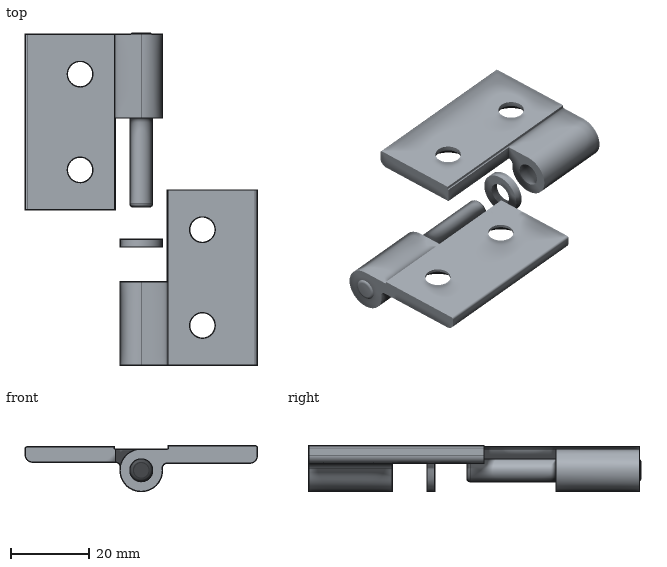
import cadquery as cq
import math


LEAF_LENGTH = 44.9
OVERALL_WIDTH = 59.5
LEAF_REACH = OVERALL_WIDTH / 2
PLATE_INNER_X = 6.6
OUTER_TOP_RADIUS = 0.6
OUTER_BOTTOM_RADIUS = 1.95
STEP_RADIUS = 0.25
PIN_LEAF_TOP = 6.0
PIN_LEAF_BOTTOM = 2.0
SOCKET_LEAF_TOP = 6.3
SOCKET_LEAF_BOTTOM = 1.8

SCREW_DIAMETER = 6.5
COUNTERSINK_DIAMETER = 13.0
SCREW_X = 15.7
SCREW_PITCH = 24.5

KNUCKLE_RADIUS = 5.45
KNUCKLE_LENGTH = 21.45
NECK_RADIUS = 1.2

PIN_DIAMETER = 5.9
PIN_RADIUS = PIN_DIAMETER / 2
PIN_END_RADIUS = 0.9
PIN_LENGTH = 44.6
PIN_PROTRUSION = 0.3
WASHER_THICKNESS = 2.0

OVERALL_LENGTH = 85.1
FRONT_Y = -OVERALL_LENGTH / 2
BACK_Y = OVERALL_LENGTH / 2
PIN_LEAF_BACK_Y = BACK_Y - PIN_PROTRUSION
WASHER_BACK_Y = FRONT_Y + 32.3


def section_at(back_y):
    """XZ sketch plane; a positive extrusion runs toward -Y."""
    return cq.Workplane("XZ", origin=(0, back_y, 0))


def plate(top, bottom, back_y):
    """Plate on the +X side, with rounded outer edges and a step at its inner edge."""
    diagonal = math.sqrt(0.5)
    step_x = PLATE_INNER_X + STEP_RADIUS
    step_z = KNUCKLE_RADIUS + STEP_RADIUS
    step_mid = (
        PLATE_INNER_X + STEP_RADIUS * diagonal,
        step_z - STEP_RADIUS * diagonal,
    )
    body = (
        section_at(back_y)
        .moveTo(PLATE_INNER_X, bottom)
        .lineTo(LEAF_REACH, bottom)
        .lineTo(LEAF_REACH, top)
        .lineTo(step_x, top)
        .lineTo(step_x, step_z)
        .threePointArc(step_mid, (PLATE_INNER_X, KNUCKLE_RADIUS))
        .close()
        .extrude(LEAF_LENGTH)
    )
    body = body.edges("|Y").edges(">X").edges(">Z").fillet(OUTER_TOP_RADIUS)
    return body.edges("|Y").edges(">X").edges("<Z").fillet(OUTER_BOTTOM_RADIUS)


def knuckle(bottom, back_y):
    """Barrel with a flat-topped neck reaching the plate on the +X side."""
    fillet_z = bottom - NECK_RADIUS
    fillet_x = math.sqrt((KNUCKLE_RADIUS + NECK_RADIUS) ** 2 - fillet_z ** 2)
    fillet_angle = math.atan2(fillet_z, fillet_x)
    barrel_point = (
        KNUCKLE_RADIUS * math.cos(fillet_angle),
        KNUCKLE_RADIUS * math.sin(fillet_angle),
    )
    mid_angle = (fillet_angle + math.pi + math.pi / 2) / 2
    fillet_mid = (
        fillet_x + NECK_RADIUS * math.cos(mid_angle),
        fillet_z + NECK_RADIUS * math.sin(mid_angle),
    )
    barrel_mid_angle = (fillet_angle - math.pi * 3 / 2) / 2
    barrel_mid = (
        KNUCKLE_RADIUS * math.cos(barrel_mid_angle),
        KNUCKLE_RADIUS * math.sin(barrel_mid_angle),
    )
    return (
        section_at(back_y)
        .moveTo(0, KNUCKLE_RADIUS)
        .lineTo(PLATE_INNER_X, KNUCKLE_RADIUS)
        .lineTo(PLATE_INNER_X, bottom)
        .lineTo(fillet_x, bottom)
        .threePointArc(fillet_mid, barrel_point)
        .threePointArc(barrel_mid, (0, KNUCKLE_RADIUS))
        .close()
        .extrude(KNUCKLE_LENGTH)
    )


def drill_screw_holes(body, bottom, back_y):
    """Cut two through holes, centred along the leaf and countersunk from below."""
    countersink_depth = (COUNTERSINK_DIAMETER - SCREW_DIAMETER) / 2
    middle_y = back_y - LEAF_LENGTH / 2
    for side in (-1, 1):
        centre = (SCREW_X, middle_y + side * SCREW_PITCH / 2, bottom)
        underside = cq.Workplane("XY", origin=centre)
        hole = underside.circle(SCREW_DIAMETER / 2).extrude(SOCKET_LEAF_TOP)
        countersink = (
            underside.circle(COUNTERSINK_DIAMETER / 2)
            .workplane(offset=countersink_depth)
            .circle(SCREW_DIAMETER / 2)
            .loft(ruled=True)
        )
        body = body.cut(hole).cut(countersink)
    return body


def make_leaf(top, bottom, leaf_back_y, knuckle_back_y):
    """Leaf on the +X side, before the pin hole is cut."""
    body = plate(top, bottom, leaf_back_y).union(knuckle(bottom, knuckle_back_y))
    return drill_screw_holes(body, bottom, leaf_back_y)


def make_pin():
    """Round pin with both ends rounded."""
    body = section_at(BACK_Y).circle(PIN_RADIUS).extrude(PIN_LENGTH)
    return body.edges("%CIRCLE").fillet(PIN_END_RADIUS)


def make_pin_leaf(pin):
    """Leaf on the -X side whose knuckle holds the pin."""
    leaf = make_leaf(PIN_LEAF_TOP, PIN_LEAF_BOTTOM, PIN_LEAF_BACK_Y, PIN_LEAF_BACK_Y)
    return leaf.mirror("YZ").cut(pin)


def make_socket_leaf():
    """Leaf on the +X side whose knuckle slides over the free end of the pin."""
    knuckle_back_y = FRONT_Y + KNUCKLE_LENGTH
    leaf = make_leaf(SOCKET_LEAF_TOP, SOCKET_LEAF_BOTTOM, FRONT_Y + LEAF_LENGTH, knuckle_back_y)
    return leaf.cut(section_at(knuckle_back_y).circle(PIN_RADIUS).extrude(KNUCKLE_LENGTH))


def make_washer():
    """Flat spacer ring between the two knuckles."""
    return section_at(WASHER_BACK_Y).circle(KNUCKLE_RADIUS).circle(PIN_RADIUS).extrude(WASHER_THICKNESS)


pin = make_pin()
pin_leaf = make_pin_leaf(pin)
washer = make_washer()
socket_leaf = make_socket_leaf()

bodies = (pin_leaf, pin, washer, socket_leaf)
result = cq.Compound.makeCompound([body.solids().val() for body in bodies])